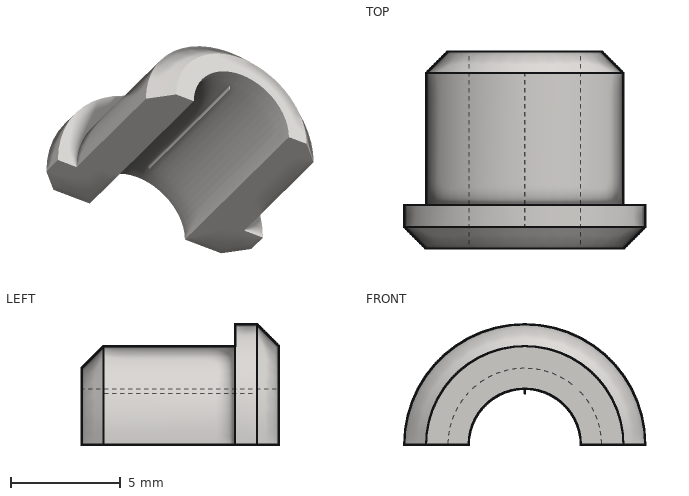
import cadquery as cq

bore_radius = 2.55
body_radius = 4.5
flange_overhang = 1.0
flange_radius = body_radius + flange_overhang
flange_thickness = 2.0
total_length = 9.0
chamfer = 1.0
half_turn = 180

ridge_height = 0.2
ridge_base_width = 0.04
ridge_embed = 0.1
ridge_setback = chamfer

profile = (
    cq.Workplane("XY")
    .moveTo(bore_radius, 0)
    .lineTo(flange_radius - chamfer, 0)
    .lineTo(flange_radius, chamfer)
    .lineTo(flange_radius, flange_thickness)
    .lineTo(body_radius, flange_thickness)
    .lineTo(body_radius, total_length - chamfer)
    .lineTo(body_radius - chamfer, total_length)
    .lineTo(bore_radius, total_length)
    .close()
)

half_bushing = profile.revolve(half_turn, (0, 0, 0), (0, -1, 0))

ridge_top = bore_radius + ridge_embed
ridge_length = total_length - 2 * ridge_setback
ridge_half_width = ridge_base_width / 2
ridge = (
    cq.Workplane("XZ", origin=(0, ridge_setback, 0))
    .moveTo(0, bore_radius - ridge_height)
    .lineTo(ridge_half_width, bore_radius)
    .lineTo(ridge_half_width, ridge_top)
    .lineTo(-ridge_half_width, ridge_top)
    .lineTo(-ridge_half_width, bore_radius)
    .close()
    .extrude(-ridge_length)
)

result = half_bushing.union(ridge)